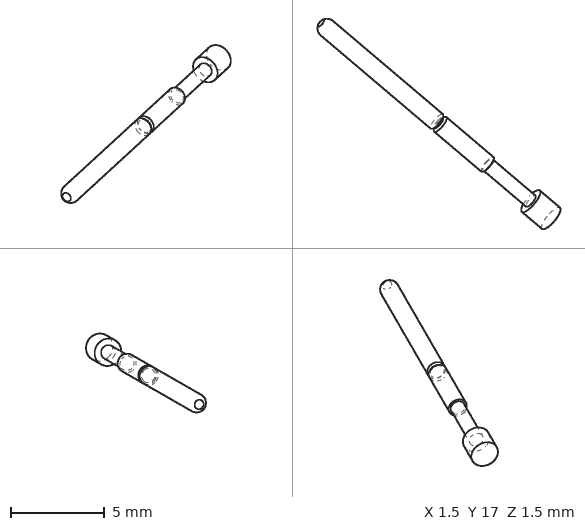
import cadquery as cq
import math

total_length = 17.0
head_radius = 1.5 / 2
head_length = 1.5
plunger_radius = 0.78 / 2
plunger_length = 3.2
barrel_radius = 0.51
tip_flat_radius = 0.25

groove_width = 0.25
groove_depth = 0.128
groove_to_barrel_top = 3.62

head_base = total_length - head_length
barrel_top = head_base - plunger_length
groove_y = barrel_top - groove_to_barrel_top

tip_length = math.sqrt(barrel_radius**2 - tip_flat_radius**2)
mid_arc_angle = math.acos(tip_flat_radius / barrel_radius) / 2
mid_arc_point = (
    barrel_radius * math.cos(mid_arc_angle),
    tip_length - barrel_radius * math.sin(mid_arc_angle),
)


def turned(half_profile):
    """Revolve a closed half profile fully about the Y axis."""
    return half_profile.close().revolve(360, (0, 0, 0), (0, 1, 0))


body = turned(
    cq.Workplane("XY")
    .lineTo(tip_flat_radius, 0)
    .threePointArc(mid_arc_point, (barrel_radius, tip_length))
    .lineTo(barrel_radius, barrel_top)
    .lineTo(plunger_radius, barrel_top)
    .lineTo(plunger_radius, head_base)
    .lineTo(head_radius, head_base)
    .lineTo(head_radius, total_length)
    .lineTo(0, total_length)
)

groove = turned(
    cq.Workplane("XY")
    .moveTo(barrel_radius - groove_depth, groove_y)
    .lineTo(barrel_radius, groove_y + groove_width / 2)
    .lineTo(barrel_radius, groove_y - groove_width / 2)
)

result = body.cut(groove)